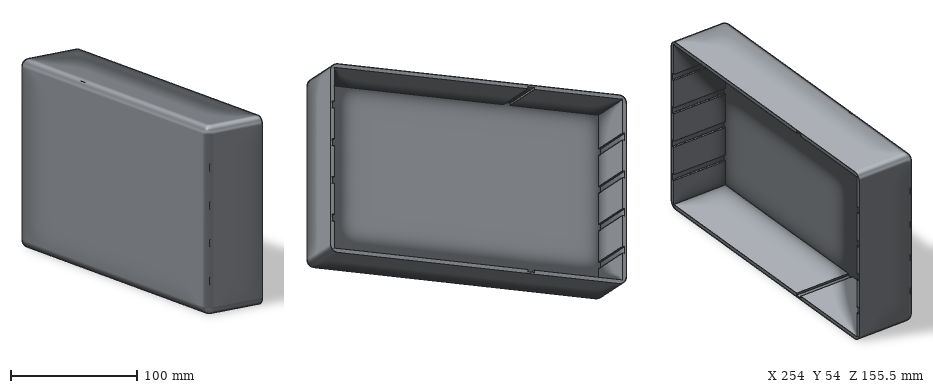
import cadquery as cq

length = 254.0
depth = 54.0
height = 155.5
edge_radius = 6.4

wall = 3.3

groove_width = 5.5
groove_depth = 1.8
shelf_spaces = 5
upright_fraction = 1 / 3

interior_y = (wall, depth)
groove_floor = wall - groove_depth


def box_between(x_range, y_range, z_range):
    """Box spanning the given (low, high) pair on each axis."""
    ranges = (x_range, y_range, z_range)
    sizes = [high - low for low, high in ranges]
    corner = tuple(low for low, high in ranges)
    return cq.Workplane("XY").box(*sizes, centered=False).translate(corner)


def inset(side, margin):
    """Low and high limits left after taking the margin off both ends of a side."""
    return (margin, side - margin)


def rounded_block():
    """Solid block with every edge rounded except those around the back face."""
    block = box_between((0, length), (0, depth), (0, height))
    return block.edges("not >Y").fillet(edge_radius)


def shelf_grooves(z_high):
    """Facing grooves in the two end walls, cut as one bar with its upper side at z_high."""
    return box_between(inset(length, groove_floor), interior_y, (z_high - groove_width, z_high))


def upright_grooves(x_high):
    """Facing grooves in the top and bottom walls, cut as one bar with its right side at x_high."""
    return box_between((x_high - groove_width, x_high), interior_y, inset(height, groove_floor))


def cavity():
    """Hollow interior together with all the divider grooves."""
    hollow = box_between(inset(length, wall), interior_y, inset(height, wall))
    for i in range(1, shelf_spaces):
        hollow = hollow.union(shelf_grooves(i * height / shelf_spaces))
    return hollow.union(upright_grooves(upright_fraction * length))


result = rounded_block().cut(cavity())